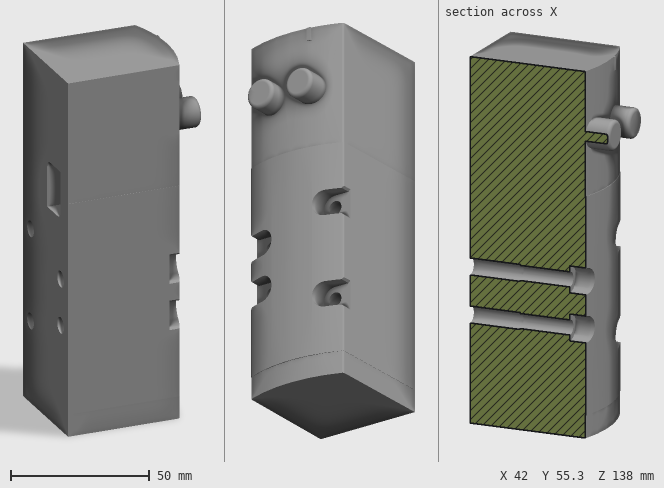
import cadquery as cq

base_width = 42.0
height = 138.0
shoulder_y = 43.7
crown_y = 48.0
side_taper = 0.35
shoulder_radius = 0.8
margin = 1.4

middle_bottom = 8.7
middle_top = 91.0
cap_side_inset = 0.1
cap_back_inset = 0.35

hole_diameter = 5.5
hole_front_diameter = 6.2
hole_x = 14.0
hole_center_z = 50.0
left_hole_spacing = 36.0
right_hole_spacing = 18.1

recess_diameter = 10.0
recess_floor_y = 39.7
hole_step_y = recess_floor_y / 2
recess_mouth_width = 11.5

pocket_left = 1.5
pocket_right = 14.0
pocket_bottom = 82.5
pocket_top = 100.7
pocket_depth = 5.4
pocket_radius = 2.6

pin_diameter = 11.5
pin_x = 8.5
pin_z = 113.6
pin_end_y = 55.3
pin_edge_radius = 1.4
pin_root_y = 41.4

bar_width = 1.8
bar_x = -7.7
bar_root_y = 44.0
bar_end_y = 47.6
bar_height = 5.1


def crowned_block(bottom, top, side_inset=0, back_inset=0):
    """Tapered block with a flat front and a crowned back, set in at sides and back."""
    front_half = base_width / 2 - side_inset
    back_half = front_half - side_taper
    block = (
        cq.Workplane("XY", origin=(0, 0, bottom))
        .moveTo(-front_half, 0)
        .lineTo(front_half, 0)
        .lineTo(back_half, shoulder_y)
        .threePointArc((0, crown_y - back_inset), (-back_half, shoulder_y))
        .close()
        .extrude(top - bottom)
    )
    shoulder_edges = block.edges("|Z").edges(cq.selectors.BoxSelector(
        (-base_width, shoulder_y - margin, bottom - margin),
        (base_width, shoulder_y + margin, top + margin),
    ))
    return shoulder_edges.fillet(shoulder_radius)


def cylinder_along_y(x, z, diameter, start_y, end_y):
    return (
        cq.Workplane("XZ", origin=(x, start_y, z))
        .circle(diameter / 2)
        .extrude(-(end_y - start_y))
    )


def mounting_hole(x, z):
    """Through hole, slightly wider over its front stretch."""
    through = cylinder_along_y(x, z, hole_diameter, 0, crown_y)
    front_stretch = cylinder_along_y(x, z, hole_front_diameter, 0, hole_step_y)
    return through.union(front_stretch)


def screw_recess(side, z):
    """Round-ended recess running out through the side wall, its mouth flared at 45 degrees."""
    half_slot = recess_diameter / 2
    half_mouth = recess_mouth_width / 2
    wall_x = base_width / 2 - side_taper
    flare_start_x = wall_x - (half_mouth - half_slot)
    outer_x = base_width / 2 + margin
    half_outer = half_mouth + outer_x - wall_x
    return (
        cq.Workplane("XZ", origin=(0, recess_floor_y, z))
        .moveTo(side * hole_x, half_slot)
        .lineTo(side * flare_start_x, half_slot)
        .lineTo(side * outer_x, half_outer)
        .lineTo(side * outer_x, -half_outer)
        .lineTo(side * flare_start_x, -half_slot)
        .lineTo(side * hole_x, -half_slot)
        .threePointArc((side * (hole_x - half_slot), 0), (side * hole_x, half_slot))
        .close()
        .extrude(-(crown_y + margin - recess_floor_y))
    )


def front_pocket():
    """Rectangular pocket rounded at its upper left and lower right corners."""
    width = pocket_right - pocket_left
    tall = pocket_top - pocket_bottom
    center_x = (pocket_left + pocket_right) / 2
    center_z = (pocket_bottom + pocket_top) / 2
    pocket = (
        cq.Workplane("XZ", origin=(center_x, 0, center_z))
        .rect(width, tall)
        .extrude(-pocket_depth)
    )
    upper_left = pocket.edges("|Y").edges("<X").edges(">Z")
    lower_right = pocket.edges("|Y").edges(">X").edges("<Z")
    return upper_left.add(lower_right).fillet(pocket_radius)


def pin(x):
    body = cylinder_along_y(x, pin_z, pin_diameter, pin_root_y, pin_end_y)
    return body.faces(">Y").edges().fillet(pin_edge_radius)


def index_bar():
    bar_corner = (bar_x - bar_width / 2, bar_root_y, height - bar_height)
    return cq.Workplane("XY", origin=bar_corner).box(
        bar_width, bar_end_y - bar_root_y, bar_height, centered=False
    )


result = crowned_block(middle_bottom, middle_top)
result = result.union(crowned_block(0, middle_bottom, cap_side_inset, cap_back_inset))
result = result.union(crowned_block(middle_top, height, cap_side_inset, cap_back_inset))

for side in (-1, 1):
    result = result.union(pin(side * pin_x))
result = result.union(index_bar())

result = result.cut(front_pocket())
for side, spacing in ((-1, left_hole_spacing), (1, right_hole_spacing)):
    for direction in (-1, 1):
        hole_z = hole_center_z + direction * spacing / 2
        result = result.cut(mounting_hole(side * hole_x, hole_z))
        result = result.cut(screw_recess(side, hole_z))